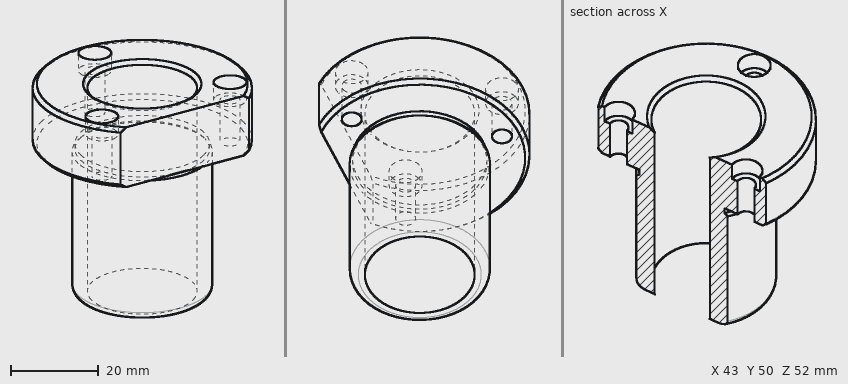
import cadquery as cq

total_height = 52.0
body_radius = 32.0 / 2
bottom_round = 2.0

flange_radius = 50.0 / 2
flange_height = 15.0
flange_chamfer = 1.0
flat_offset = 18.0

groove_radius = 30.7 / 2
groove_height = 2.0
groove_taper_height = 0.6

bore_radius = 25.0 / 2
bore_chamfer = 1.0

screw_circle_radius = 20.0
screw_angles = (60, 180, 300)
screw_diameter = 4.5
counterbore_diameter = 7.5
counterbore_depth = 4.4

flange_bottom = total_height - flange_height


def make_flange():
    """Chamfered disc, cut off by a flat that leaves a sharp edge."""
    disc = (
        cq.Workplane("XY")
        .workplane(offset=flange_bottom)
        .circle(flange_radius)
        .extrude(flange_height)
        .edges()
        .chamfer(flange_chamfer)
    )
    beyond_flat = (
        cq.Workplane("XY")
        .workplane(offset=flange_bottom)
        .center(flat_offset + flange_radius / 2, 0)
        .rect(flange_radius, 2 * flange_radius)
        .extrude(flange_height)
    )
    return disc.cut(beyond_flat)


def make_body():
    """Revolved shank with a rounded lower end and a tapered relief groove."""
    groove_bottom = flange_bottom - groove_height
    return (
        cq.Workplane("XZ")
        .lineTo(body_radius - bottom_round, 0)
        .radiusArc((body_radius, bottom_round), -bottom_round)
        .lineTo(body_radius, groove_bottom)
        .lineTo(groove_radius, groove_bottom + groove_taper_height)
        .lineTo(groove_radius, flange_bottom)
        .lineTo(0, flange_bottom)
        .close()
        .revolve(360, (0, 0, 0), (0, 1, 0))
    )


def make_bore():
    """Through bore with a chamfered mouth at the top."""
    return (
        cq.Workplane("XZ")
        .lineTo(bore_radius, 0)
        .lineTo(bore_radius, total_height - bore_chamfer)
        .lineTo(bore_radius + bore_chamfer, total_height)
        .lineTo(0, total_height)
        .close()
        .revolve(360, (0, 0, 0), (0, 1, 0))
    )


def make_screw_hole(angle):
    """Counterbored hole through the flange at one angle about the axis."""
    hole = (
        cq.Workplane("XY")
        .workplane(offset=flange_bottom)
        .center(screw_circle_radius, 0)
        .circle(screw_diameter / 2)
        .extrude(flange_height)
    )
    counterbore = (
        cq.Workplane("XY")
        .workplane(offset=total_height - counterbore_depth)
        .center(screw_circle_radius, 0)
        .circle(counterbore_diameter / 2)
        .extrude(counterbore_depth)
    )
    return hole.union(counterbore).rotate((0, 0, 0), (0, 0, 1), angle)


result = make_flange().union(make_body()).cut(make_bore())
for screw_angle in screw_angles:
    result = result.cut(make_screw_hole(screw_angle))